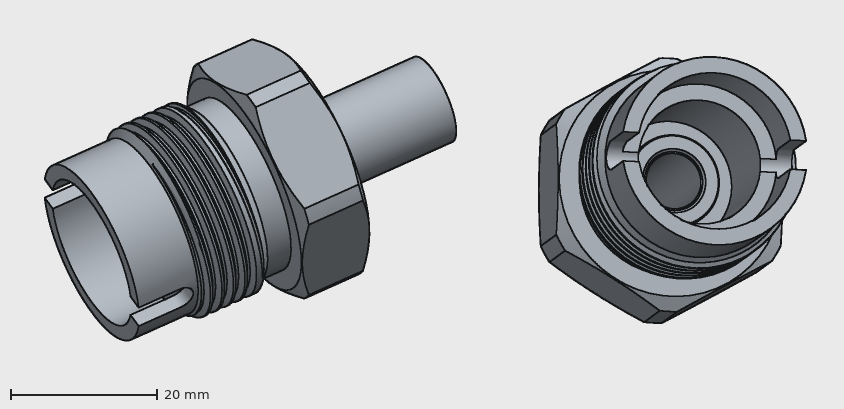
import cadquery as cq
import math


THREAD_FRONT = 9.29
NECK_FRONT = 20.36
HEX_FRONT = 24.06
TAIL_LENGTH = 19.05
TOTAL_LENGTH = 53.85
HEX_REAR = TOTAL_LENGTH - TAIL_LENGTH

NOSE_RADIUS = 13.1
NECK_RADIUS = 12.9
TAIL_RADIUS = 6.4
HEX_ACROSS_FLATS = 31.75
HEX_ACROSS_CORNERS = 35.31
HEX_CORNER_RADIUS = HEX_ACROSS_CORNERS / 2
HEX_FACE_RADIUS = 15.75
HEX_CHAMFER_ANGLE = 30.0

MAJOR_RADIUS = 14.25
INCH = 25.4
THREADS_PER_INCH = 14
PITCH = INCH / THREADS_PER_INCH
GROOVE_DEPTH = 0.88
GROOVE_ROOT_WIDTH = 0.41
FLANK_ANGLE = 30.0
GROOVE_START = 9.41
FULL_DEPTH_TURNS = 4.5
RUNOUT_TURNS = 0.9
RUNOUT_CLEARANCE = 0.15
GROOVE_OVERCUT = 0.3

MOUTH_RADIUS = 10.88
MOUTH_DEPTH = 8.31
CHAMBER_RADIUS = 8.63
CHAMBER_DEPTH = HEX_FRONT
SEAT_RADIUS = 6.4
SEAT_HEIGHT = 2.0
SEAT_EDGE_CHAMFER = 0.16
BORE_RADIUS = 3.86
BORE_MOUTH_RADIUS = 4.45
BORE_MOUTH_INNER_RADIUS = 4.1

SLOT_WIDTH = 4.06
SLOT_DEPTH = 8.53


def plane_along_y(y):
    """Plane across the axis at y, with its local X on +Z and its normal on +Y."""
    return cq.Plane(origin=(0, y, 0), xDir=(0, 0, 1), normal=(0, 1, 0))


def revolve_about_y(points):
    """Turn a closed outline of (radius, y) points about the Y axis."""
    outline = cq.Workplane("YZ").polyline([(y, radius) for radius, y in points]).close()
    return outline.revolve(360, (0, 0), (1, 0))


def turned_body():
    front_chamfer = MAJOR_RADIUS - NOSE_RADIUS
    rear_chamfer = MAJOR_RADIUS - NECK_RADIUS
    return revolve_about_y(
        [
            (0, 0),
            (NOSE_RADIUS, 0),
            (NOSE_RADIUS, THREAD_FRONT),
            (MAJOR_RADIUS, THREAD_FRONT + front_chamfer),
            (MAJOR_RADIUS, NECK_FRONT - rear_chamfer),
            (NECK_RADIUS, NECK_FRONT),
            (NECK_RADIUS, HEX_REAR),
            (TAIL_RADIUS, HEX_REAR),
            (TAIL_RADIUS, TOTAL_LENGTH),
            (0, TOTAL_LENGTH),
        ]
    )


def hex_section():
    """Hexagon with flats facing +X and -X, its corners turned round and chamfered."""
    thickness = HEX_REAR - HEX_FRONT
    chamfer_length = (HEX_CORNER_RADIUS - HEX_FACE_RADIUS) * math.tan(math.radians(HEX_CHAMFER_ANGLE))
    corner_to_corner = HEX_ACROSS_FLATS / math.cos(math.pi / 6)
    prism = cq.Workplane(plane_along_y(HEX_FRONT)).polygon(6, corner_to_corner).extrude(thickness)
    turned_blank = revolve_about_y(
        [
            (0, HEX_FRONT),
            (HEX_FACE_RADIUS, HEX_FRONT),
            (HEX_CORNER_RADIUS, HEX_FRONT + chamfer_length),
            (HEX_CORNER_RADIUS, HEX_REAR - chamfer_length),
            (HEX_FACE_RADIUS, HEX_REAR),
            (0, HEX_REAR),
        ]
    )
    return prism.intersect(turned_blank)


def helix_wire(turns, radius, rise_per_turn):
    """Helix about Z that starts on +X and widens by rise_per_turn on each turn."""
    if rise_per_turn == 0:
        return cq.Wire.makeHelix(PITCH, turns * PITCH, radius)
    cone_angle = math.degrees(math.atan2(rise_per_turn, PITCH))
    slant_pitch = math.hypot(rise_per_turn, PITCH)
    return cq.Wire.makeHelix(slant_pitch, turns * slant_pitch, radius, angle=cone_angle)


def groove_sweep(turns, rise_per_turn):
    """Sweep the groove section along a helix about Z that starts on +X."""
    root_radius = MAJOR_RADIUS - GROOVE_DEPTH
    outer_radius = MAJOR_RADIUS + GROOVE_OVERCUT
    root_half = GROOVE_ROOT_WIDTH / 2
    outer_half = root_half + (outer_radius - root_radius) * math.tan(math.radians(FLANK_ANGLE))
    helix = helix_wire(turns, root_radius, rise_per_turn)
    section = [
        (root_radius, -root_half),
        (outer_radius, -outer_half),
        (outer_radius, outer_half),
        (root_radius, root_half),
    ]
    return cq.Workplane("XZ").polyline(section).close().sweep(cq.Workplane(helix), isFrenet=True)


def cut_thread(body):
    """Cut the helical groove, which starts on +Z and fades out at the rear."""
    runout_rise = (GROOVE_DEPTH + RUNOUT_CLEARANCE) / RUNOUT_TURNS
    full_groove = groove_sweep(FULL_DEPTH_TURNS, 0)
    runout = groove_sweep(RUNOUT_TURNS, runout_rise)
    runout = runout.rotate((0, 0, 0), (0, 0, 1), 360 * FULL_DEPTH_TURNS)
    runout = runout.translate((0, 0, FULL_DEPTH_TURNS * PITCH))
    start = cq.Location(plane_along_y(GROOVE_START))
    for groove in (full_groove, runout):
        body = body.cut(cq.Workplane(groove.val().moved(start)))
    return body


def cavity():
    """Stepped chamber with a raised seat ring on its floor, and the through bore."""
    seat_front = CHAMBER_DEPTH - SEAT_HEIGHT
    countersink_depth = BORE_MOUTH_RADIUS - BORE_MOUTH_INNER_RADIUS
    return revolve_about_y(
        [
            (0, 0),
            (MOUTH_RADIUS, 0),
            (MOUTH_RADIUS, MOUTH_DEPTH),
            (CHAMBER_RADIUS, MOUTH_DEPTH),
            (CHAMBER_RADIUS, CHAMBER_DEPTH),
            (SEAT_RADIUS, CHAMBER_DEPTH),
            (SEAT_RADIUS, seat_front + SEAT_EDGE_CHAMFER),
            (SEAT_RADIUS - SEAT_EDGE_CHAMFER, seat_front),
            (BORE_MOUTH_RADIUS, seat_front),
            (BORE_MOUTH_INNER_RADIUS, seat_front + countersink_depth),
            (BORE_RADIUS, seat_front + countersink_depth),
            (BORE_RADIUS, TOTAL_LENGTH),
            (0, TOTAL_LENGTH),
        ]
    )


def cross_slot():
    """Round-bottomed slot that crosses the nose along X."""
    half_width = SLOT_WIDTH / 2
    straight_depth = SLOT_DEPTH - half_width
    return (
        cq.Workplane("YZ")
        .moveTo(0, -half_width)
        .lineTo(straight_depth, -half_width)
        .threePointArc((SLOT_DEPTH, 0), (straight_depth, half_width))
        .lineTo(0, half_width)
        .close()
        .extrude(MAJOR_RADIUS, both=True)
    )


threaded_body = cut_thread(turned_body())
result = threaded_body.union(hex_section()).cut(cavity()).cut(cross_slot())